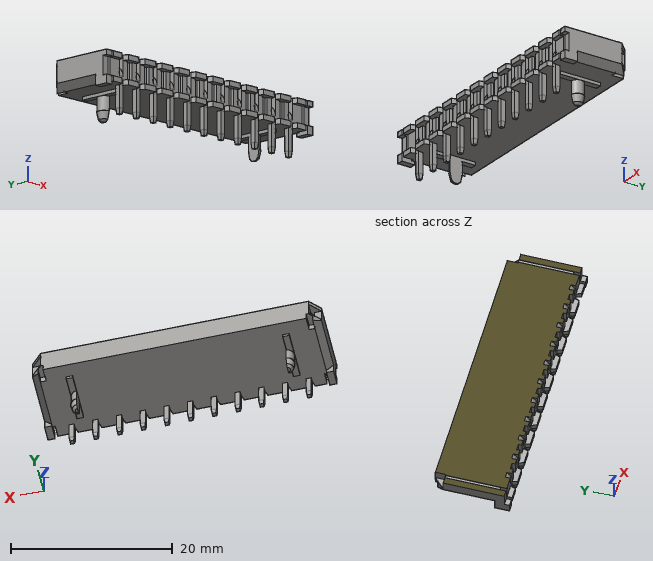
import cadquery as cq
import math


length = 36.65
depth = 9.9
top_z = 4.32
floor_z = 0.45
corner_cut = 1.35
foot_width = 0.9
foot_depth = 1.9
edge_bevel_height = 1.0

lip_depth = 0.65
upper_lip_z = top_z - 0.7
lower_lip_z = 1.15

pin_count = 11
pin_pitch = 3.0
pin_size = 0.65
pin_end_z = -3.23
pin_taper_length = 0.75
pin_tip_size = 0.48
bend_radius = 1.35
bend_start_z = 1.58
notch_mouth = 1.1
notch_back_y = lip_depth + pin_size

groove_width = 0.77
groove_depth = 0.4

slit_width = 0.33
slit_depth = 1.45
channel_z = 2.7
window_z = 1.7

pocket_width = 0.75
pocket_depth = 1.7
pocket_top_z = 1.43

latch_width = 2.6
latch_height = 1.2
latch_front_y = 9.05
latch_crest_y = 7.85
latch_back_y = 6.55
latch_foot_depth = 0.22
latch_foot_height = 0.33

pad_start_y = 2.25
pad_end_y = 8.2
peg_flat_x = 13.3
peg_radius = 0.9
peg_y = 5.3
peg_barb_z = -1.87
peg_inset = 0.07
peg_shoulder_z = -2.9
peg_shoulder_radius = 0.7
peg_end_radius = 0.33

half_length = length / 2
foot_inner_x = half_length - foot_width
pin_positions = [(i - (pin_count - 1) / 2) * pin_pitch for i in range(pin_count)]
groove_positions = [x + pin_pitch / 2 for x in pin_positions[:-1]]


def block(x0, x1, y0, y1, z0, z1):
    return cq.Workplane("XY").box(x1 - x0, y1 - y0, z1 - z0, centered=False).translate((x0, y0, z0))


def both_ends(shape):
    """Join a right-hand shape with its mirror image on the left."""
    return shape.union(shape.mirror("YZ"))


def housing_body():
    body = block(-half_length, half_length, 0, depth, floor_z, top_z)
    body = body.edges("|Z and >Y").chamfer(corner_cut)
    bevel = (
        cq.Workplane("XZ", origin=(0, foot_depth, 0))
        .moveTo(half_length, floor_z)
        .lineTo(half_length, floor_z + edge_bevel_height)
        .lineTo(foot_inner_x, floor_z)
        .close()
        .extrude(-(depth - foot_depth))
    )
    foot = block(foot_inner_x, half_length, 0, foot_depth, 0, floor_z)
    recess = block(-half_length, half_length, 0, lip_depth, lower_lip_z, upper_lip_z)
    return body.cut(both_ends(bevel)).union(both_ends(foot)).cut(recess)


def end_openings():
    slit_x = foot_inner_x - slit_width
    window_x = half_length - corner_cut
    window_y = depth - corner_cut
    slit = block(slit_x, foot_inner_x, 0, slit_depth, 0, top_z)
    channel = block(slit_x, foot_inner_x, slit_depth, depth, channel_z, upper_lip_z)
    window = block(window_x, half_length, window_y, depth, window_z, upper_lip_z)
    pocket = block(
        foot_inner_x - pocket_width, foot_inner_x, depth - pocket_depth, depth, floor_z, pocket_top_z
    )
    return both_ends(slit.union(channel).union(window).union(pocket))


def pin_notch(x):
    """Slot through the lips that flares towards the solder side."""
    return (
        cq.Workplane("XY", origin=(x, 0, floor_z))
        .moveTo(-notch_mouth / 2, 0)
        .lineTo(-pin_size / 2, lip_depth)
        .lineTo(-pin_size / 2, notch_back_y)
        .lineTo(pin_size / 2, notch_back_y)
        .lineTo(pin_size / 2, lip_depth)
        .lineTo(notch_mouth / 2, 0)
        .close()
        .extrude(top_z - floor_z)
    )


def pin(x):
    """Bent pin with a tapered tip; its inner end is buried in the housing."""
    bend_y = lip_depth + bend_radius
    taper_z = pin_end_z + pin_taper_length
    center_y = lip_depth + pin_size / 2
    mid_bend = math.cos(math.radians(45))
    slant = bend_radius * mid_bend
    inner_radius = bend_radius - pin_size
    inner_slant = inner_radius * mid_bend
    shank = (
        cq.Workplane("YZ", origin=(x - pin_size / 2, 0, 0))
        .moveTo(lip_depth, taper_z)
        .lineTo(lip_depth, bend_start_z)
        .threePointArc((bend_y - slant, bend_start_z + slant), (bend_y, bend_start_z + bend_radius))
        .lineTo(bend_y, bend_start_z + inner_radius)
        .threePointArc((bend_y - inner_slant, bend_start_z + inner_slant), (notch_back_y, bend_start_z))
        .lineTo(notch_back_y, taper_z)
        .close()
        .extrude(pin_size)
    )
    tip = (
        cq.Workplane("XY", origin=(x, center_y, pin_end_z))
        .rect(pin_tip_size, pin_tip_size)
        .workplane(offset=pin_taper_length)
        .rect(pin_size, pin_size)
        .loft()
    )
    return shank.union(tip)


def groove(x):
    half = groove_width / 2
    return block(x - half, x + half, lip_depth, lip_depth + groove_depth, lower_lip_z, upper_lip_z)


def latch():
    return (
        cq.Workplane("YZ", origin=(-latch_width / 2, 0, top_z))
        .moveTo(latch_front_y, 0)
        .lineTo(latch_crest_y, latch_height)
        .lineTo(latch_back_y, latch_height)
        .lineTo(latch_back_y, latch_foot_height)
        .lineTo(latch_back_y - latch_foot_depth, 0)
        .close()
        .extrude(latch_width)
    )


def peg():
    """Right-hand board pad and half-round peg whose tapered barb overhangs outwards."""
    stem_x = peg_flat_x - peg_inset
    pad = block(peg_flat_x, stem_x + peg_radius, pad_start_y, pad_end_y, 0, floor_z)
    stem = cq.Workplane("XY", origin=(stem_x, peg_y, 0)).circle(peg_radius).extrude(peg_barb_z)
    barb = (
        cq.Workplane("XZ")
        .moveTo(0, peg_barb_z)
        .lineTo(peg_radius, peg_barb_z)
        .lineTo(peg_shoulder_radius, peg_shoulder_z)
        .lineTo(peg_end_radius, pin_end_z)
        .lineTo(0, pin_end_z)
        .close()
        .revolve(360, (0, 0, 0), (0, 1, 0))
        .translate((peg_flat_x, peg_y, 0))
    )
    outer_half = block(peg_flat_x, half_length, 0, depth, pin_end_z, 0)
    return pad.union(stem.union(barb).intersect(outer_half))


result = housing_body().cut(end_openings())
for notch_x in pin_positions:
    result = result.cut(pin_notch(notch_x))
for groove_x in groove_positions:
    result = result.cut(groove(groove_x))
for pin_x in pin_positions:
    result = result.union(pin(pin_x))
result = result.union(latch()).union(both_ends(peg()))